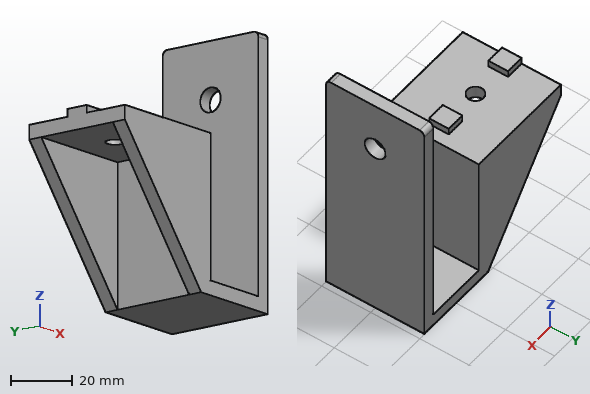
import cadquery as cq

length = 75.0
width = 40.0
height = 95.0
wall = 5.0

block_length = 45.0
shelf_top = 55.0
shelf_underside = shelf_top - wall
block_wall_x = block_length - wall
back_plate_x = length - wall
rib_spacing = width - 2 * wall

tab_length = 7.5
tab_width = 8.0
tab_height = 2.7

shelf_hole_diameter = 6.5
shelf_hole_x = block_wall_x / 2
back_hole_diameter = 8.5
back_hole_z = 75.0
corner_radius = 2.0


def extrude_profile(points, depth):
    """Extrude an XZ outline symmetrically about the Y = 0 plane."""
    return cq.Workplane("XZ").polyline(points).close().extrude(depth / 2, both=True)


def locating_tab(start_x):
    """Rectangular tab standing on the shelf, centred across its width."""
    return (
        cq.Workplane("XY", origin=(start_x, 0, shelf_top))
        .box(tab_length, tab_width, tab_height, centered=(False, True, False))
    )


body = extrude_profile(
    [
        (0, shelf_underside),
        (0, shelf_top),
        (block_length, shelf_top),
        (block_length, wall),
        (back_plate_x, wall),
        (back_plate_x, height),
        (length, height),
        (length, 0),
        (block_wall_x, 0),
    ],
    width,
)
body = body.faces(">Z").edges("|X").fillet(corner_radius)

pocket = extrude_profile(
    [(0, shelf_underside), (block_wall_x, shelf_underside), (block_wall_x, 0), (0, 0)],
    rib_spacing,
)
body = body.cut(pocket)

for tab_x in (0, block_wall_x - tab_length):
    body = body.union(locating_tab(tab_x))

shelf_hole = (
    cq.Workplane("XY", origin=(shelf_hole_x, 0, shelf_underside))
    .circle(shelf_hole_diameter / 2)
    .extrude(wall)
)

back_hole = (
    cq.Workplane("YZ", origin=(back_plate_x, 0, back_hole_z))
    .circle(back_hole_diameter / 2)
    .extrude(wall)
)

result = body.cut(shelf_hole).cut(back_hole)